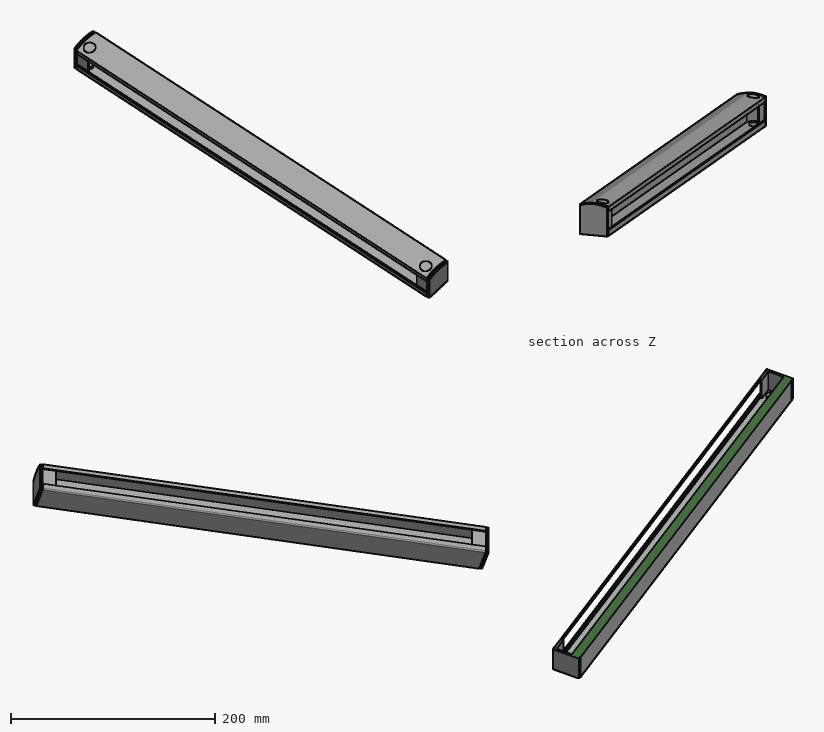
import cadquery as cq

length = 452.5
width = 30.0
height = 33.0

crown_rise = 2.5
bottom_radius = 1.5

cap_thickness = 2.0
cap_inset = 0.23
cap_edge = 0.7
groove_width = 1.5
groove_inset = 0.7

window_height = 19.0
window_length = 419.0
window_z = -0.5
lip_thickness = 2.0
channel_height = 26.2
channel_depth = 20.0

plate_thickness = 2.0

mark_radius = 6.0
mark_depth = 0.23
mark_x = 214.0
mark_y = -5.0
post_radius = 3.5
post_height = 3.5

front = -width / 2
body_length = length - 2 * (cap_thickness + groove_width)
channel_floor = window_z - channel_height / 2


def crowned_bar(x_start, x_length, inset):
    """Bar along X with a crowned top and rounded bottom edges; inset shrinks it on every side."""
    half_width = width / 2 - inset
    half_height = height / 2 - inset
    shoulder = half_height - crown_rise
    return (
        cq.Workplane("YZ", origin=(x_start, 0, 0))
        .moveTo(-half_width, -half_height)
        .lineTo(half_width, -half_height)
        .lineTo(half_width, shoulder)
        .threePointArc((0, half_height), (-half_width, shoulder))
        .close()
        .extrude(x_length)
        .faces("<Z")
        .edges("|X")
        .fillet(bottom_radius)
    )


def front_block(x_length, y_start, y_length, z_height):
    """Box level with the window that starts y_start behind the front face."""
    return (
        cq.Workplane("XY")
        .box(x_length, y_length, z_height)
        .translate((0, front + y_start + y_length / 2, window_z))
    )


def upright_cylinder(x, y, z_bottom, radius, z_length):
    return cq.Workplane("XY", origin=(x, y, z_bottom)).circle(radius).extrude(z_length)


body = crowned_bar(-body_length / 2, body_length, 0)
body = body.cut(front_block(body_length, 0, lip_thickness, window_height))
body = body.cut(front_block(body_length, lip_thickness, channel_depth - lip_thickness, channel_height))

plates = front_block(body_length, lip_thickness, plate_thickness, channel_height)
plates = plates.cut(front_block(window_length, lip_thickness, plate_thickness, channel_height))
body = body.union(plates)

sunken_bar = crowned_bar(-body_length / 2, body_length, mark_depth)
for x in (-mark_x, mark_x):
    mark = upright_cylinder(x, mark_y, 0, mark_radius, height).cut(sunken_bar)
    post = upright_cylinder(x, mark_y, channel_floor, post_radius, post_height)
    body = body.cut(mark).union(post)

left_cap = crowned_bar(-length / 2, cap_thickness, cap_inset).faces("<X").chamfer(cap_edge)
left_neck = crowned_bar(-length / 2 + cap_thickness, groove_width, groove_inset)
left_end = left_cap.union(left_neck)
right_end = left_end.mirror("YZ")

result = body.union(left_end).union(right_end)